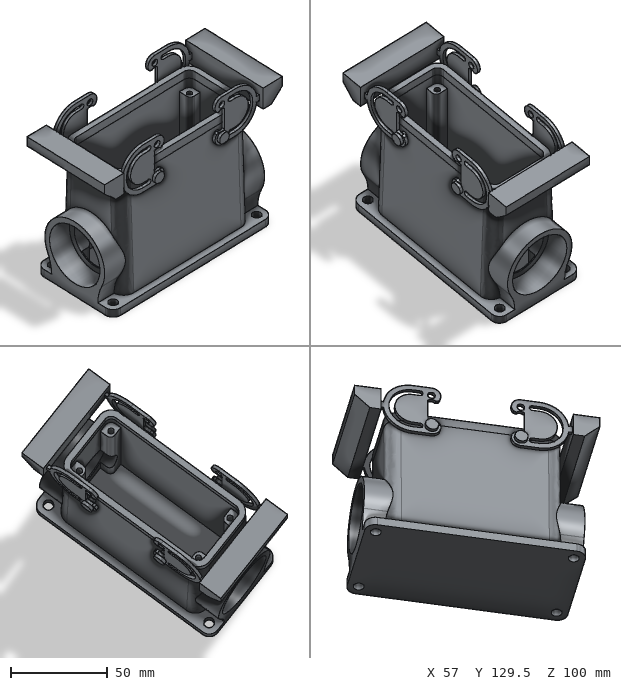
import cadquery as cq
import math

base_width = 56.3
base_length = 116.5
base_thickness = 5.0
base_corner_radius = 5.5
mount_hole_diameter = 5.5
mount_hole_inset = 6.0

shell_length = 93.0
shell_bottom_width = 48.0
rim_width = 43.0
rim_height = 5.3
rim_top = 84.0
rim_bottom = rim_top - rim_height
wall = 3.5
corner_radius = 7.5
floor_height = base_thickness
inner_width = rim_width - 2 * wall
inner_length = shell_length - 2 * wall

post_top = 72.5
post_inner_x = 10.0
post_depth = 7.2
post_corner_radius = 3.0
post_hole_diameter = 3.2
post_hole_depth = 12.0
post_hole_x = 13.5
post_hole_y = 38.7

entry_height = 26.8
hub_radius = 22.0
hub_foot_half_width = 17.0
counterbore_diameter = 37.0
counterbore_depth = 14.5
bore_diameter = 30.0

lever_inner_x = 23.7
lever_thickness = 1.9
lever_radius = 15.5
lever_middle_height = rim_top + 0.5
lever_arc_y = 33.5
lever_edge_y = 25.55
ear_radius = 5.0
ear_y = 23.6
ear_rise = lever_radius - ear_radius
ear_tip_angle = math.radians(-40)
ear_hole_diameter = 4.0
notch_roof_drop = 2.85
notch_edge_drop = 3.7
notch_tip_y = ear_y - 2.3
notch_tip_drop = 3.75
slot_outer_radius = 12.5
slot_inner_radius = 9.4
slot_end_y = 28.15
lug_height = 4.0
lug_overlap = 2.0

pin_diameter = 4.0
pin_head_diameter = 7.0
pin_head_thickness = 1.9
pin_inner_x = rim_width / 2 - wall / 2

bar_width = 57.0
bar_outer_y = 129.5 / 2
bar_depth = 14.0
bar_inner_y = bar_outer_y - bar_depth
bar_top = 92.4
bar_bottom = 78.6
bar_chamfer_y = 8.0
bar_chamfer_z = 7.7

both_sides = (-1, 1)


def rounded_block(width, length, radius, bottom, top):
    """Upright block with rounded vertical corners."""
    return (
        cq.Workplane("XY", origin=(0, 0, bottom))
        .rect(width, length)
        .extrude(top - bottom)
        .edges("|Z")
        .fillet(radius)
    )


def shell_outline(width, height):
    """Rounded rectangle of the shell's outside at a given height."""
    outline = cq.Sketch().rect(width, shell_length).vertices().fillet(corner_radius)
    return outline.moved(cq.Location(cq.Vector(0, 0, height)))


def base_plate():
    return rounded_block(base_width, base_length, base_corner_radius, 0, base_thickness)


def leaning_shell():
    """Solid outer form of the shell, narrowing in width from the base plate to the rim."""
    bottom_outline = shell_outline(shell_bottom_width, base_thickness)
    top_outline = shell_outline(rim_width, rim_bottom)
    return cq.Workplane("XY").placeSketch(bottom_outline, top_outline).loft(ruled=True)


def cavity(bottom, top):
    """Upright inner space shared by the shell and the rim."""
    return rounded_block(inner_width, inner_length, corner_radius - wall, bottom, top)


def entry_hubs():
    """Round hubs running the full length, with flared feet standing on the base plate."""
    rise = entry_height - base_thickness
    foot_radius = (hub_foot_half_width**2 + rise**2 - hub_radius**2) / (2 * (hub_radius - hub_foot_half_width))
    foot_centre_x = hub_foot_half_width + foot_radius
    tangent_share = hub_radius / (hub_radius + foot_radius)
    tangent_x = foot_centre_x * tangent_share
    tangent_z = entry_height - rise * tangent_share
    foot_mid_angle = math.atan2(rise, foot_centre_x) / 2
    foot_mid_x = foot_centre_x - foot_radius * math.cos(foot_mid_angle)
    foot_mid_z = base_thickness + foot_radius * math.sin(foot_mid_angle)
    return (
        cq.Workplane("XZ")
        .moveTo(-hub_foot_half_width, 0)
        .lineTo(hub_foot_half_width, 0)
        .lineTo(hub_foot_half_width, base_thickness)
        .threePointArc((foot_mid_x, foot_mid_z), (tangent_x, tangent_z))
        .threePointArc((0, entry_height + hub_radius), (-tangent_x, tangent_z))
        .threePointArc((-foot_mid_x, foot_mid_z), (-hub_foot_half_width, base_thickness))
        .close()
        .extrude(base_length / 2, both=True)
    )


def corner_posts():
    """Four screw posts filling the corners of the cavity."""
    post_width = inner_width / 2 - post_inner_x
    posts = cq.Workplane("XY")
    for side_x in both_sides:
        for side_y in both_sides:
            centre_x = side_x * (inner_width - post_width) / 2
            centre_y = side_y * (inner_length - post_depth) / 2
            inner_edge = ("<" if side_x > 0 else ">") + "X and " + ("<" if side_y > 0 else ">") + "Y"
            post = (
                cq.Workplane("XY", origin=(centre_x, centre_y, floor_height))
                .rect(post_width, post_depth)
                .extrude(post_top - floor_height)
                .edges("|Z and (" + inner_edge + ")")
                .fillet(post_corner_radius)
            )
            posts = posts.union(post)
    return posts


def post_holes():
    return (
        cq.Workplane("XY", origin=(0, 0, post_top - post_hole_depth))
        .rect(2 * post_hole_x, 2 * post_hole_y, forConstruction=True)
        .vertices()
        .circle(post_hole_diameter / 2)
        .extrude(post_hole_depth)
    )


def mount_holes():
    return (
        cq.Workplane("XY")
        .rect(base_width - 2 * mount_hole_inset, base_length - 2 * mount_hole_inset, forConstruction=True)
        .vertices()
        .circle(mount_hole_diameter / 2)
        .extrude(base_thickness)
    )


def entry_bores():
    """Counterbores in both hubs; only the -Y one opens into the housing, cutting through the posts there."""
    front_face = cq.Workplane("XZ", origin=(0, -base_length / 2, entry_height))
    back_face = cq.Workplane("XZ", origin=(0, base_length / 2, entry_height))
    bore_depth = (base_length - inner_length) / 2 + post_depth
    bores = front_face.circle(counterbore_diameter / 2).extrude(-counterbore_depth)
    bores = bores.union(back_face.circle(counterbore_diameter / 2).extrude(counterbore_depth))
    return bores.union(front_face.circle(bore_diameter / 2).extrude(-bore_depth))


def lever_plate():
    """Side plate of the +Y lever: a D with two hooked ears, built on the +X side."""
    tip_y = ear_y - ear_radius * math.cos(ear_tip_angle)
    tip_rise = ear_rise + ear_radius * math.sin(ear_tip_angle)
    ear_mid_angle = (math.pi / 2 + ear_tip_angle) / 2
    ear_mid_y = ear_y - ear_radius * math.cos(ear_mid_angle)
    ear_mid_rise = ear_rise + ear_radius * math.sin(ear_mid_angle)
    notch_edge_rise = ear_rise - notch_edge_drop
    plane = cq.Workplane("YZ", origin=(lever_inner_x, 0, lever_middle_height))
    plate = (
        plane.moveTo(lever_arc_y, -lever_radius)
        .threePointArc((lever_arc_y + lever_radius, 0), (lever_arc_y, lever_radius))
        .lineTo(ear_y, lever_radius)
        .threePointArc((ear_mid_y, ear_mid_rise), (tip_y, tip_rise))
        .lineTo(notch_tip_y, ear_rise - notch_tip_drop)
        .threePointArc((ear_y, ear_rise - notch_roof_drop), (lever_edge_y, notch_edge_rise))
        .lineTo(lever_edge_y, -notch_edge_rise)
        .threePointArc((ear_y, notch_roof_drop - ear_rise), (notch_tip_y, notch_tip_drop - ear_rise))
        .lineTo(tip_y, -tip_rise)
        .threePointArc((ear_mid_y, -ear_mid_rise), (ear_y, -lever_radius))
        .close()
        .extrude(lever_thickness)
    )
    slot_end_radius = (slot_outer_radius - slot_inner_radius) / 2
    slot_middle_radius = slot_outer_radius - slot_end_radius
    slot_leg_y = slot_end_y + slot_end_radius
    slot = (
        plane.moveTo(slot_leg_y, slot_outer_radius)
        .lineTo(lever_arc_y, slot_outer_radius)
        .threePointArc((lever_arc_y + slot_outer_radius, 0), (lever_arc_y, -slot_outer_radius))
        .lineTo(slot_leg_y, -slot_outer_radius)
        .threePointArc((slot_end_y, -slot_middle_radius), (slot_leg_y, -slot_inner_radius))
        .lineTo(lever_arc_y, -slot_inner_radius)
        .threePointArc((lever_arc_y + slot_inner_radius, 0), (lever_arc_y, slot_inner_radius))
        .lineTo(slot_leg_y, slot_inner_radius)
        .threePointArc((slot_end_y, slot_middle_radius), (slot_leg_y, slot_outer_radius))
        .close()
        .extrude(lever_thickness)
    )
    ear_hole = plane.center(ear_y, ear_rise).circle(ear_hole_diameter / 2).extrude(lever_thickness)
    lug_start_y = lever_arc_y + lever_radius - lug_overlap
    lug = (
        plane.center((lug_start_y + bar_inner_y) / 2, 0)
        .rect(bar_inner_y - lug_start_y, lug_height)
        .extrude(lever_thickness)
    )
    return plate.cut(slot).cut(ear_hole).union(lug)


def pivot_pin():
    """Headed pin joining the +X side plate of the +Y lever to the shell wall."""
    lever_outer_x = lever_inner_x + lever_thickness
    pivot_height = lever_middle_height - ear_rise
    shank = (
        cq.Workplane("YZ", origin=(pin_inner_x, ear_y, pivot_height))
        .circle(pin_diameter / 2)
        .extrude(lever_outer_x - pin_inner_x)
    )
    head = (
        cq.Workplane("YZ", origin=(lever_outer_x, ear_y, pivot_height))
        .circle(pin_head_diameter / 2)
        .extrude(pin_head_thickness)
    )
    return shank.union(head)


def handle_bar():
    """Bar across the +Y lever with its lower outer edge cut away."""
    return (
        cq.Workplane("YZ")
        .moveTo(bar_inner_y, bar_bottom)
        .lineTo(bar_outer_y - bar_chamfer_y, bar_bottom)
        .lineTo(bar_outer_y, bar_bottom + bar_chamfer_z)
        .lineTo(bar_outer_y, bar_top)
        .lineTo(bar_inner_y, bar_top)
        .close()
        .extrude(bar_width / 2, both=True)
    )


def lever():
    """Complete +Y lever: two side plates with their pins, joined by the handle bar."""
    side = lever_plate().union(pivot_pin())
    return handle_bar().union(side).union(side.mirror("YZ"))


def make_housing():
    """Base plate, leaning shell, hubs and posts, with both levers fixed to it by their pins."""
    outside = base_plate().union(leaning_shell()).union(entry_hubs())
    hollow = outside.cut(cavity(floor_height, rim_bottom))
    body = hollow.union(corner_posts())
    body = body.cut(entry_bores()).cut(post_holes()).cut(mount_holes())
    plus_y_lever = lever()
    return body.union(plus_y_lever).union(plus_y_lever.mirror("XZ"))


def make_rim():
    """Upright frame closing the top edge of the shell."""
    frame = rounded_block(rim_width, shell_length, corner_radius, rim_bottom, rim_top)
    return frame.cut(cavity(rim_bottom, rim_top))


housing = make_housing()
rim = make_rim()

result = cq.Compound.makeCompound([housing.val(), rim.val()])